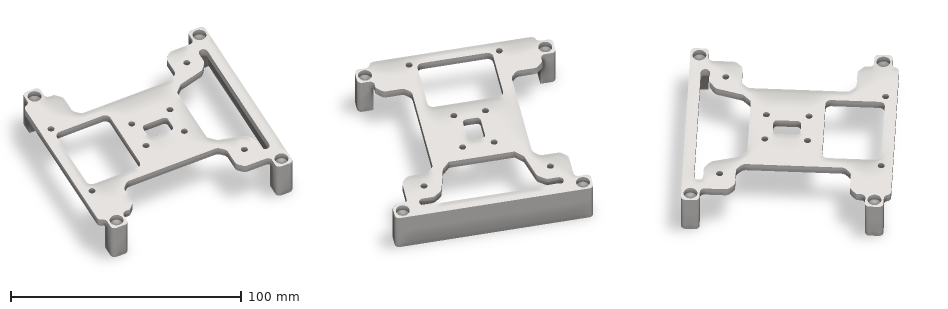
import cadquery as cq
import math

SQUARE = 88.0
HALF = SQUARE / 2
HEIGHT = 19.0
PLATE_THICKNESS = 4.0
FRONT_OVERHANG = 3.0

POST_LENGTH_X = 7.0
POST_LENGTH_Y = 8.0
POST_CORNER_RADIUS = 2.0
BORE_DIAMETER = 6.0
BORE_DEPTH = 3.0
BORE_SPACING = SQUARE - POST_LENGTH_Y

WALL_THICKNESS = 1.0

SHOULDER_X = HALF - POST_LENGTH_X
NECK_X = 22.0
BACK_SHOULDER_Y = 20.9
FRONT_SHOULDER_Y = -29.0
TAB_Y = HALF - POST_LENGTH_Y
FRONT_Y = -HALF - FRONT_OVERHANG
SHOULDER_CHAMFER = 3.0
SHOULDER_RADIUS = 3.0
TAB_RADIUS = 2.0

SLOT_HALF_LENGTH = 32.0
SLOT_BACK_Y = 38.95
SLOT_WIDTH = 4.0
SLOT_FRONT_Y = SLOT_BACK_Y - SLOT_WIDTH
OPENING_BACK_X = 21.9
OPENING_SIDE_FRONT_X = 18.0
OPENING_SIDE_FRONT_Y = 20
OPENING_FRONT_X = 14.6
OPENING_FRONT_Y = 16.5
OPENING_CHAMFER = 3.0
OPENING_RADIUS = 3.0

CENTRE_WINDOW_LENGTH_X = 7.9
CENTRE_WINDOW_LENGTH_Y = 12.1
CENTRE_WINDOW_RADIUS = 1.7
FRONT_WINDOW_LENGTH_X = 33.6
FRONT_WINDOW_BACK_Y = -16.0
FRONT_WINDOW_LENGTH_Y = 25.8
FRONT_WINDOW_CORNER_DIAMETER = 5.0

SCREW_DIAMETER = 3.0
SCREW_PAIRS = [(28.0, 27.9), (7.0, 9.3), (7.0, -9.3), (20, -41.95)]

TOUCHING = 9.1e-07


def rounded_prism(corners, thickness):
    """Prism below z = 0 from a closed polygon of (x, y, corner radius)."""
    stretches = []
    for i, (x, y, radius) in enumerate(corners):
        corner = cq.Vector(x, y)
        to_last = (cq.Vector(*corners[i - 1][:2]) - corner).normalized()
        to_next = (cq.Vector(*corners[(i + 1) % len(corners)][:2]) - corner).normalized()
        half_angle = to_last.getAngle(to_next) / 2
        setback = radius / math.tan(half_angle)
        bisector = (to_last + to_next).normalized()
        middle = corner + bisector * (radius / math.sin(half_angle) - radius)
        stretches.append((corner + to_last * setback, middle, corner + to_next * setback, radius))

    end = stretches[-1][2]
    edges = []
    for start, middle, finish, radius in stretches:
        if (start - end).Length > TOUCHING:
            edges.append(cq.Edge.makeLine(end, start))
        if radius > 0:
            edges.append(cq.Edge.makeThreePointArc(start, middle, finish))
        end = finish
    wire = cq.Wire.assembleEdges(edges)
    return cq.Workplane(cq.Solid.extrudeLinear(wire, [], cq.Vector(0, 0, -thickness)))


def mirrored(right_half):
    """Complete a right half outline, listed from back to front, with its mirror image."""
    return right_half + [(-x, y, radius) for x, y, radius in reversed(right_half)]


def make_plate():
    sweep = math.acos(1 - FRONT_OVERHANG / (2 * TAB_RADIUS))
    tangent = TAB_RADIUS * math.tan(sweep / 2)
    front_x = SHOULDER_X - TAB_RADIUS + tangent
    tab_x = front_x + FRONT_OVERHANG / math.tan(sweep)

    cut = SHOULDER_CHAMFER
    return rounded_prism(mirrored([
        (HALF, HALF, POST_CORNER_RADIUS),
        (HALF, TAB_Y, POST_CORNER_RADIUS),
        (SHOULDER_X, TAB_Y, TAB_RADIUS),
        (SHOULDER_X, BACK_SHOULDER_Y + cut, SHOULDER_RADIUS),
        (SHOULDER_X - cut, BACK_SHOULDER_Y, SHOULDER_RADIUS),
        (NECK_X + cut, BACK_SHOULDER_Y, SHOULDER_RADIUS),
        (NECK_X, BACK_SHOULDER_Y - cut, SHOULDER_RADIUS),
        (NECK_X, FRONT_SHOULDER_Y + cut, SHOULDER_RADIUS),
        (NECK_X + cut, FRONT_SHOULDER_Y, SHOULDER_RADIUS),
        (SHOULDER_X - cut, FRONT_SHOULDER_Y, SHOULDER_RADIUS),
        (SHOULDER_X, FRONT_SHOULDER_Y - cut, 0),
        (SHOULDER_X, -TAB_Y, TAB_RADIUS),
        (HALF, -TAB_Y, POST_CORNER_RADIUS),
        (HALF, -HALF, POST_CORNER_RADIUS),
        (tab_x, -HALF, TAB_RADIUS),
        (front_x, FRONT_Y, TAB_RADIUS),
    ]), PLATE_THICKNESS)


def make_back_opening():
    side_x = OPENING_SIDE_FRONT_X - OPENING_BACK_X
    side_y = OPENING_SIDE_FRONT_Y - SLOT_FRONT_Y
    fraction = OPENING_CHAMFER / math.hypot(side_x, side_y)
    slot_radius = SLOT_WIDTH / 2

    return rounded_prism(mirrored([
        (SLOT_HALF_LENGTH, SLOT_BACK_Y, slot_radius),
        (SLOT_HALF_LENGTH, SLOT_FRONT_Y, slot_radius),
        (OPENING_BACK_X + OPENING_CHAMFER, SLOT_FRONT_Y, OPENING_RADIUS),
        (OPENING_BACK_X + fraction * side_x, SLOT_FRONT_Y + fraction * side_y, OPENING_RADIUS),
        (OPENING_SIDE_FRONT_X, OPENING_SIDE_FRONT_Y, 0),
        (OPENING_FRONT_X, OPENING_FRONT_Y, 0),
    ]), PLATE_THICKNESS)


def make_window(length_x, length_y, centre_y, radius):
    window = cq.Workplane().center(0, centre_y).rect(length_x, length_y).extrude(-PLATE_THICKNESS)
    return window.edges("|Z").fillet(radius)


def make_posts():
    spacing_x = SQUARE - POST_LENGTH_X
    spacing_y = SQUARE - POST_LENGTH_Y
    posts = cq.Workplane().rect(spacing_x, spacing_y, forConstruction=True).vertices()
    posts = posts.rect(POST_LENGTH_X, POST_LENGTH_Y).extrude(-HEIGHT)
    return posts.faces("<X or >X").edges("|Z").fillet(POST_CORNER_RADIUS)


def make_wall():
    wall = cq.Workplane().center(0, HALF - WALL_THICKNESS / 2)
    return wall.rect(2 * SHOULDER_X, WALL_THICKNESS).extrude(-HEIGHT)


def make_screw_holes():
    points = [(side * x, y) for x, y in SCREW_PAIRS for side in (-1, 1)]
    return cq.Workplane().pushPoints(points).circle(SCREW_DIAMETER / 2).extrude(-PLATE_THICKNESS)


def make_bores():
    centres = cq.Workplane().rect(BORE_SPACING, BORE_SPACING, forConstruction=True).vertices()
    return centres.circle(BORE_DIAMETER / 2).extrude(-BORE_DEPTH)


centre_window = make_window(CENTRE_WINDOW_LENGTH_X, CENTRE_WINDOW_LENGTH_Y, 0, CENTRE_WINDOW_RADIUS)
front_window_centre_y = FRONT_WINDOW_BACK_Y - FRONT_WINDOW_LENGTH_Y / 2
front_window = make_window(
    FRONT_WINDOW_LENGTH_X, FRONT_WINDOW_LENGTH_Y, front_window_centre_y, FRONT_WINDOW_CORNER_DIAMETER / 2
)

result = make_plate().union(make_posts()).union(make_wall())
result = result.cut(make_back_opening()).cut(centre_window).cut(front_window)
result = result.cut(make_screw_holes()).cut(make_bores())